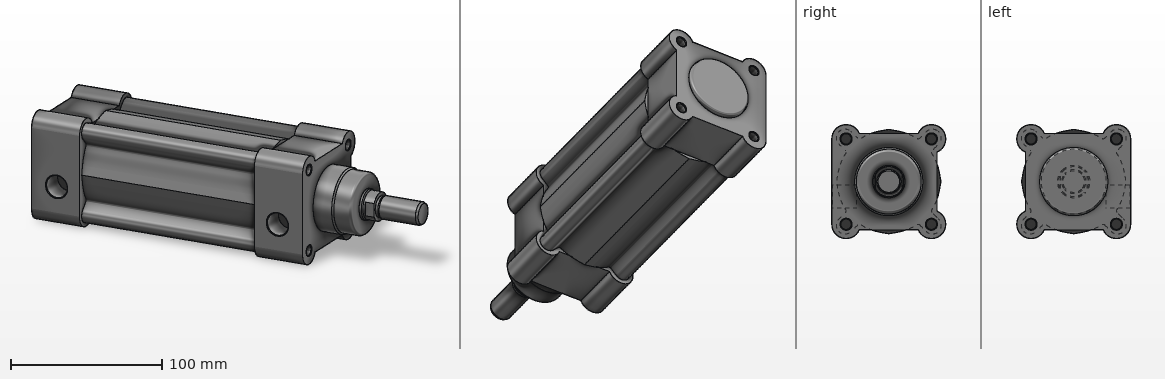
import cadquery as cq
import math


total_length = 275.5
rear_spigot_length = 3.3
cap_length = 35.8
barrel_length = 130.3
front_spigot_length = 15.0
nose_length = 13.2
seal_length = 2.5

rear_cap_start = rear_spigot_length
barrel_start = rear_cap_start + cap_length
front_cap_start = barrel_start + barrel_length
front_cap_end = front_cap_start + cap_length
nose_start = front_cap_end + front_spigot_length
nose_end = nose_start + nose_length
rod_start = nose_end + seal_length

cap_size = 75.5
screw_spacing = 56.5
body_size = 64.0
cap_half = cap_size / 2
lug_radius = (cap_size - screw_spacing) / 2

screw_hole_diameter = 7.0
screw_hole_depth = 16.0
screw_hole_chamfer = 0.5

port_radius = 7.7
port_depth = 16.5
port_chamfer = 0.5
port_z = -10.0
port_inset = 18.7

spigot_radius = 22.5
rear_spigot_fillet = 2.0
front_spigot_chamfer = 1.0
nose_radius = 21.5
nose_fillet = 2.2
seal_radius = 10.7
seal_chamfer = 0.8

barrel_diameter = 68.0
ridge_width = 12.5
rib_width = 11.5
rib_offset = 29.0
rib_root_fillet = 1.7
barrel_radius = barrel_diameter / 2

rod_radius = 10.0
rod_length = 7.7
flats_width = 17.4
flats_offset = 1.5
neck_radius = 7.2
neck_length = 3.3
thread_radius = 8.0
thread_start_chamfer = 1.5
thread_end_chamfer = 1.7
thread_end_radius = 7.2


def disc(radius, start, length):
    """Cylinder on the X axis."""
    return cq.Workplane("YZ", origin=(start, 0, 0)).circle(radius).extrude(length)


def cap_block(start):
    """Square block with a round lug at each corner; its -Y face is flush with the lugs."""
    section = cq.Workplane("YZ", origin=(start, 0, 0))
    body = section.rect(body_size, body_size).extrude(cap_length)
    port_pad = section.center(-cap_half / 2, 0).rect(cap_half, screw_spacing).extrude(cap_length)
    lugs = (
        section.rect(screw_spacing, screw_spacing, forConstruction=True)
        .vertices()
        .circle(lug_radius)
        .extrude(cap_length)
    )
    return body.union(port_pad).union(lugs)


def screw_hole(y, z, face_x, inward):
    """Blind hole with a chamfered mouth, drilled from face_x in the X direction `inward`."""
    screw_hole_radius = screw_hole_diameter / 2
    mouth_radius = screw_hole_radius + screw_hole_chamfer
    axis = cq.Vector(inward, 0, 0)
    mouth = cq.Vector(face_x, y, z)
    bore = cq.Solid.makeCylinder(screw_hole_radius, screw_hole_depth, mouth, axis)
    countersink = cq.Solid.makeCone(mouth_radius, screw_hole_radius, screw_hole_chamfer, mouth, axis)
    return bore.fuse(countersink)


def port_hole(port_x):
    """Blind air port in a cap's -Y face, with a chamfered mouth."""
    axis = cq.Vector(0, 1, 0)
    mouth = cq.Vector(port_x, -cap_half, port_z)
    bore = cq.Solid.makeCylinder(port_radius, port_depth, mouth, axis)
    countersink = cq.Solid.makeCone(port_radius + port_chamfer, port_radius, port_chamfer, mouth, axis)
    return bore.fuse(countersink)


def drilled_cap(start, face_x, inward):
    """Cap block with its air port and the four screw holes of its outer face."""
    cap = cap_block(start).cut(port_hole(face_x + inward * port_inset))
    screw_offset = screw_spacing / 2
    for y in (-screw_offset, screw_offset):
        for z in (-screw_offset, screw_offset):
            cap = cap.cut(screw_hole(y, z, face_x, inward))
    return cap


def make_rear_cap():
    spigot = disc(spigot_radius, 0, rear_spigot_length).faces("<X").edges().fillet(rear_spigot_fillet)
    return drilled_cap(rear_cap_start, rear_cap_start, 1).union(spigot)


def make_front_cap():
    spigot = disc(spigot_radius, front_cap_end, front_spigot_length)
    spigot = spigot.faces(">X").edges().chamfer(front_spigot_chamfer)
    nose = disc(nose_radius, nose_start, nose_length).faces(">X").edges().fillet(nose_fillet)
    seal = disc(seal_radius, nose_end, seal_length).faces(">X").edges().chamfer(seal_chamfer)
    return drilled_cap(front_cap_start, front_cap_end, -1).union(spigot).union(nose).union(seal)


def ring_point(radius, angle):
    """Point in the YZ section at an angle in radians from +Y."""
    return (radius * math.cos(angle), radius * math.sin(angle))


def make_barrel():
    """Round barrel with a low ridge on each side and a rib on each diagonal."""
    quarter = math.pi / 2
    ridge_angle = math.asin(ridge_width / barrel_diameter)
    ridge_peak = barrel_radius / math.cos(ridge_angle)
    section = cq.Workplane("YZ", origin=(barrel_start, 0, 0))

    outline = section.moveTo(*ring_point(barrel_radius, -ridge_angle))
    for side in range(4):
        middle = side * quarter
        outline = (
            outline.lineTo(*ring_point(ridge_peak, middle))
            .lineTo(*ring_point(barrel_radius, middle + ridge_angle))
            .threePointArc(
                ring_point(barrel_radius, middle + quarter / 2),
                ring_point(barrel_radius, middle + quarter - ridge_angle),
            )
        )
    barrel = outline.close().extrude(barrel_length)

    rib_span = 2 * math.hypot(rib_offset, rib_offset) + rib_width
    for angle in (45, 135):
        barrel = barrel.union(section.slot2D(rib_span, rib_width, angle).extrude(barrel_length))

    root_angle = math.asin(rib_width / barrel_diameter)
    for corner in range(4):
        for side in (-1, 1):
            angle = (corner + 0.5) * quarter + side * root_angle
            root = (barrel_start + barrel_length / 2, *ring_point(barrel_radius, angle))
            barrel = barrel.edges(cq.selectors.NearestToPointSelector(root)).fillet(rib_root_fillet)
    return barrel


def make_piston_rod():
    """Rod end with two wrench flats, a relief neck and a chamfered thread."""
    shoulder_x = rod_start + rod_length
    thread_start = shoulder_x + neck_length
    rod = (
        cq.Workplane("XY")
        .moveTo(rod_start, 0)
        .lineTo(rod_start, rod_radius)
        .lineTo(shoulder_x, rod_radius)
        .lineTo(shoulder_x, neck_radius)
        .lineTo(thread_start - thread_start_chamfer, neck_radius)
        .lineTo(thread_start, thread_radius)
        .lineTo(total_length - thread_end_chamfer, thread_radius)
        .lineTo(total_length, thread_end_radius)
        .lineTo(total_length, 0)
        .close()
        .revolve(360, (0, 0, 0), (1, 0, 0))
    )
    flats_start = rod_start + flats_offset
    flats_length = rod_length - flats_offset
    flat_outline = cq.Workplane("YZ", origin=(flats_start, 0, 0)).rect(flats_width, 2 * rod_radius)
    flat_section = flat_outline.extrude(flats_length)
    flat_waste = disc(rod_radius, flats_start, flats_length).cut(flat_section)
    return rod.cut(flat_waste)


rear_cap = make_rear_cap()
front_cap = make_front_cap()
barrel = make_barrel()
piston_rod = make_piston_rod()

result = cq.Compound.makeCompound([rear_cap.val(), front_cap.val(), barrel.val(), piston_rod.val()])